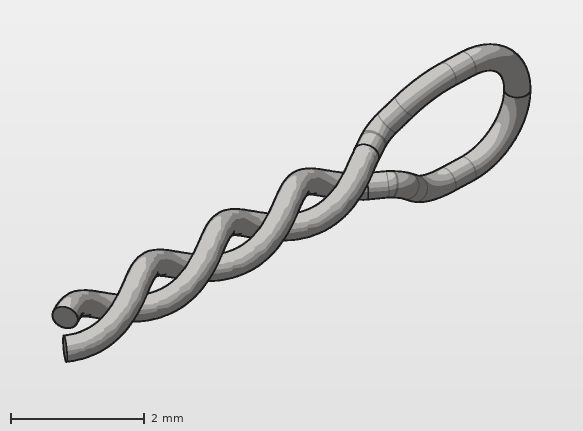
import cadquery as cq
import math


TOTAL_HEIGHT = 2.4
WIRE_DIAMETER = 0.4
TWIST_RADIUS = 0.3
TWIST_PITCH = 3.0
TWIST_TURNS = 2
TOTAL_LENGTH = 9.31
EYE_STRAIGHT = 0.4
SHOULDER_RADIUS = 1.05
SHOULDER_ANGLE = 45.0
NECK_OFFSET = 0.26
NECK_Y = -1.52
NECK_Z = 0.36
NECK_RADIUS = 0.42
LEAD_LENGTH = 0.34
LEAD_RADIUS = 0.205

WIRE_RADIUS = WIRE_DIAMETER / 2
EYE_RADIUS = TOTAL_HEIGHT / 2 - WIRE_RADIUS
TWIST_ANGLE = math.atan(2 * math.pi * TWIST_RADIUS / TWIST_PITCH)
END_FACE_REACH = WIRE_RADIUS * math.sin(TWIST_ANGLE)
TWIST_LENGTH = TWIST_PITCH * TWIST_TURNS
TWIST_START_Y = EYE_RADIUS + WIRE_RADIUS + END_FACE_REACH + TWIST_LENGTH - TOTAL_LENGTH


def bend_points(before, corner, after, radius):
    """Start, middle and end of the arc that rounds a corner of the wire."""
    back = (before - corner).normalized()
    ahead = (after - corner).normalized()
    half_angle = back.getAngle(ahead) / 2
    setback = radius / math.tan(half_angle)
    center_distance = radius / math.sin(half_angle)
    middle = corner + (back + ahead).normalized() * (center_distance - radius)
    return corner + back * setback, middle, corner + ahead * setback


def upper_half_loop():
    """Half of the eye, with its shoulder and neck, up to the start of the twist."""
    diagonal = EYE_RADIUS * math.sqrt(0.5)
    tip = cq.Vector(0, EYE_RADIUS, 0)
    arc_middle = cq.Vector(0, diagonal, diagonal)
    arc_end = cq.Vector(0, 0, EYE_RADIUS)

    shoulder_setback = SHOULDER_RADIUS * math.tan(math.radians(SHOULDER_ANGLE) / 2)
    shoulder = cq.Vector(0, -EYE_STRAIGHT - shoulder_setback, EYE_RADIUS)
    twist_start = cq.Vector(0, TWIST_START_Y, TWIST_RADIUS)
    twist_direction = cq.Vector(math.sin(TWIST_ANGLE), -math.cos(TWIST_ANGLE), 0)
    neck = cq.Vector(-NECK_OFFSET, NECK_Y, NECK_Z)
    lead = twist_start - twist_direction * LEAD_LENGTH

    edges = [cq.Edge.makeThreePointArc(tip, arc_middle, arc_end)]
    corners = [arc_end, shoulder, neck, lead, twist_start]
    radii = [SHOULDER_RADIUS, NECK_RADIUS, LEAD_RADIUS]
    straight_start = arc_end
    for index, radius in enumerate(radii):
        before, corner, after = corners[index:index + 3]
        bend_start, bend_middle, bend_end = bend_points(before, corner, after, radius)
        edges.append(cq.Edge.makeLine(straight_start, bend_start))
        edges.append(cq.Edge.makeThreePointArc(bend_start, bend_middle, bend_end))
        straight_start = bend_end
    edges.append(cq.Edge.makeLine(straight_start, twist_start))
    path = cq.Wire.assembleEdges(edges)
    section_plane = cq.Plane(origin=tip, xDir=(1, 0, 0), normal=(0, 0, 1))
    return cq.Workplane(section_plane).circle(WIRE_RADIUS).sweep(path).val()


def upper_strand():
    """Left-handed helical strand that starts above the twist axis."""
    twist_plane = cq.Plane(origin=(0, TWIST_START_Y, 0), xDir=(0, 0, 1), normal=(0, -1, 0))
    helix = cq.Wire.makeHelix(TWIST_PITCH, TWIST_LENGTH, TWIST_RADIUS, lefthand=True)
    path = helix.moved(twist_plane.location)
    section_plane = cq.Plane(
        origin=(0, TWIST_START_Y, TWIST_RADIUS),
        xDir=(0, 0, 1),
        normal=(math.sin(TWIST_ANGLE), -math.cos(TWIST_ANGLE), 0),
    )
    return cq.Workplane(section_plane).circle(WIRE_RADIUS).sweep(path, isFrenet=True).val()


half_loop = upper_half_loop()
strand = upper_strand()
half_loops = []
strands = []
for turn in (0, 180):
    half_loops.append(half_loop.rotate((0, 0, 0), (0, 1, 0), turn))
    strands.append(strand.rotate((0, 0, 0), (0, 1, 0), turn))

result = cq.Compound.makeCompound([*half_loops, *strands])